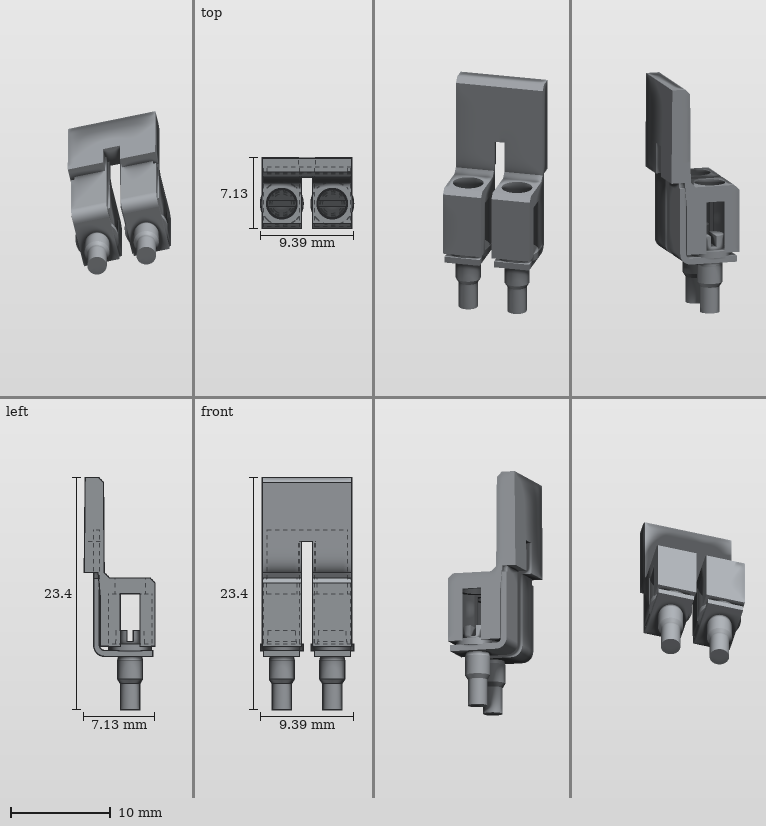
import cadquery as cq

SCREW_PITCH = 5.07
SCREW_CENTRES = (-SCREW_PITCH / 2, SCREW_PITCH / 2)

TOP_Z = 23.35
HOUSING_WIDTH = 9.02
CHAMFER = 0.51
PLATE_TOP_BACK_Y = 4.53
PLATE_TOP_FRONT_Y = 2.66
PLATE_FOOT_BACK_Y = 4.63
PLATE_FOOT_FRONT_Y = 2.6
PLATE_FOOT_Z = 13.78
BLOCK_FRONT_Y = -2.5
BLOCK_BACK_Y = 3.0
BLOCK_TOP_Z = PLATE_FOOT_Z - CHAMFER
BLOCK_BOTTOM_Z = 6.38
TAPER_TOP_Y = 3.22
TAPER_END_Z = 11.05
SLOT_WIDTH = 1.07
SLOT_TOP_Z = 16.91
BACK_SLOT_WIDTH = 1.73
BORE_RADIUS = 1.55
CAVITY_CLEARANCE = 0.02
WINDOW_WIDTH = 1.95
WINDOW_TOP_Z = 11.65

STRAP_WIDTH = 8.78
STRAP_GAP = 1.5
STRAP_THICKNESS = 0.58
STRAP_BACK_Y = 3.67
STRAP_FRONT_Y = STRAP_BACK_Y - STRAP_THICKNESS
SEAT_BOTTOM_Z = 5.35
SEAT_TOP_Z = 5.98
SEAT_FRONT_Y = -2.3
BEND_OUTER_RADIUS = 1.12
BEND_INNER_RADIUS = 0.51
SHOULDER_Z = 13.18
SHOULDER_INSET = 0.35
BRIDGE_HEIGHT = 1.17

COLLAR_DIAMETER = 4.32
COLLAR_RADIUS = COLLAR_DIAMETER / 2
COLLAR_TOP_Z = 6.59
COLLAR_BOTTOM_Z = 5.9
HEAD_BASE_RADIUS = 1.47
HEAD_TOP_RADIUS = 1.4
HEAD_TOP_Z = 8.0
DRIVE_SLOT_WIDTH = 0.58
DRIVE_SLOT_FLOOR_Z = 6.87
NECK_RADIUS = 1.17
SHANK_RADIUS = 1.25
SHANK_TOP_Z = 4.98
SHANK_BOTTOM_Z = 3.08
TIP_RADIUS = 0.98
TIP_TOP_Z = 2.65


def box_between(x_range, y_range, z_range):
    """Axis-aligned box given by its limits along each axis."""
    size = [high - low for low, high in (x_range, y_range, z_range)]
    corner = (x_range[0], y_range[0], z_range[0])
    return cq.Workplane("XY").box(*size, centered=False).translate(corner)


def cylinder(x, radius, z_low, z_high):
    """Upright cylinder on the screw axis at the given X."""
    return cq.Workplane("XY").workplane(offset=z_low).center(x, 0).circle(radius).extrude(z_high - z_low)


def make_screw(x):
    """Slotted head, wide collar and stepped shank on one vertical axis."""
    profile = [
        (0, 0),
        (TIP_RADIUS, 0),
        (TIP_RADIUS, TIP_TOP_Z),
        (SHANK_RADIUS, SHANK_BOTTOM_Z),
        (SHANK_RADIUS, SHANK_TOP_Z),
        (NECK_RADIUS, SEAT_BOTTOM_Z),
        (NECK_RADIUS, COLLAR_BOTTOM_Z),
        (COLLAR_RADIUS, COLLAR_BOTTOM_Z),
        (COLLAR_RADIUS, COLLAR_TOP_Z),
        (HEAD_BASE_RADIUS, COLLAR_TOP_Z),
        (HEAD_TOP_RADIUS, HEAD_TOP_Z),
        (0, HEAD_TOP_Z),
    ]
    screw = cq.Workplane("XZ").polyline(profile).close().revolve(360, (0, 0, 0), (0, 1, 0))
    drive_slot = box_between(
        (-HEAD_BASE_RADIUS, HEAD_BASE_RADIUS),
        (-DRIVE_SLOT_WIDTH / 2, DRIVE_SLOT_WIDTH / 2),
        (DRIVE_SLOT_FLOOR_Z, HEAD_TOP_Z),
    )
    return screw.cut(drive_slot).translate((x, 0, 0))


def make_strap():
    """L-shaped strap split into two legs below its bridge."""
    bridge_top_z = SLOT_TOP_Z + BRIDGE_HEIGHT
    half_width = STRAP_WIDTH / 2
    upright = box_between(
        (-half_width, half_width), (STRAP_FRONT_Y, STRAP_BACK_Y), (SEAT_BOTTOM_Z, bridge_top_z)
    )
    seat = box_between(
        (-half_width, half_width), (SEAT_FRONT_Y, STRAP_BACK_Y), (SEAT_BOTTOM_Z, SEAT_TOP_Z)
    )
    strap = upright.union(seat)
    strap = strap.edges(cq.NearestToPointSelector((0, STRAP_BACK_Y, SEAT_BOTTOM_Z))).fillet(BEND_OUTER_RADIUS)
    strap = strap.edges(cq.NearestToPointSelector((0, STRAP_FRONT_Y, SEAT_TOP_Z))).fillet(BEND_INNER_RADIUS)
    gap = box_between(
        (-STRAP_GAP / 2, STRAP_GAP / 2), (SEAT_FRONT_Y, STRAP_BACK_Y), (SEAT_BOTTOM_Z, SLOT_TOP_Z)
    )
    strap = strap.cut(gap)
    for edge_x in (-half_width, half_width):
        shoulder = box_between(
            (edge_x - SHOULDER_INSET, edge_x + SHOULDER_INSET),
            (STRAP_FRONT_Y, STRAP_BACK_Y),
            (SHOULDER_Z, bridge_top_z),
        )
        strap = strap.cut(shoulder)
    return strap


def make_screw_strap():
    """The strap with both screws fixed in its seats, as one body."""
    body = make_strap()
    for x in SCREW_CENTRES:
        body = body.union(make_screw(x))
    return body


def make_housing(insert):
    """Plate and forked clamping block, recessed for the insert."""
    profile = [
        (PLATE_TOP_BACK_Y, TOP_Z),
        (PLATE_TOP_FRONT_Y + CHAMFER, TOP_Z),
        (PLATE_TOP_FRONT_Y, TOP_Z - CHAMFER),
        (PLATE_FOOT_FRONT_Y, PLATE_FOOT_Z),
        (PLATE_FOOT_FRONT_Y - CHAMFER, BLOCK_TOP_Z),
        (BLOCK_FRONT_Y + CHAMFER, BLOCK_TOP_Z),
        (BLOCK_FRONT_Y, BLOCK_TOP_Z - CHAMFER),
        (BLOCK_FRONT_Y, BLOCK_BOTTOM_Z),
        (BLOCK_BACK_Y, BLOCK_BOTTOM_Z),
        (BLOCK_BACK_Y, TAPER_END_Z),
        (TAPER_TOP_Y, PLATE_FOOT_Z),
        (PLATE_FOOT_BACK_Y, PLATE_FOOT_Z),
    ]
    housing = cq.Workplane("YZ").polyline(profile).close().extrude(HOUSING_WIDTH / 2, both=True)

    slot_height = (BLOCK_BOTTOM_Z, SLOT_TOP_Z)
    slot = box_between((-SLOT_WIDTH / 2, SLOT_WIDTH / 2), (BLOCK_FRONT_Y, PLATE_FOOT_BACK_Y), slot_height)
    back_slot = box_between(
        (-BACK_SLOT_WIDTH / 2, BACK_SLOT_WIDTH / 2), (STRAP_FRONT_Y, PLATE_FOOT_BACK_Y), slot_height
    )
    housing = housing.cut(slot).cut(back_slot)

    for x in SCREW_CENTRES:
        housing = housing.cut(cylinder(x, BORE_RADIUS, BLOCK_BOTTOM_Z, BLOCK_TOP_Z))
        housing = housing.cut(cylinder(x, COLLAR_RADIUS + CAVITY_CLEARANCE, BLOCK_BOTTOM_Z, WINDOW_TOP_Z))

    window = box_between(
        (-HOUSING_WIDTH / 2, HOUSING_WIDTH / 2),
        (-WINDOW_WIDTH / 2, WINDOW_WIDTH / 2),
        (BLOCK_BOTTOM_Z, WINDOW_TOP_Z),
    )
    return housing.cut(window).cut(insert)


screw_strap = make_screw_strap()
housing = make_housing(screw_strap)

result = cq.Compound.makeCompound([housing.solids().val(), screw_strap.solids().val()])